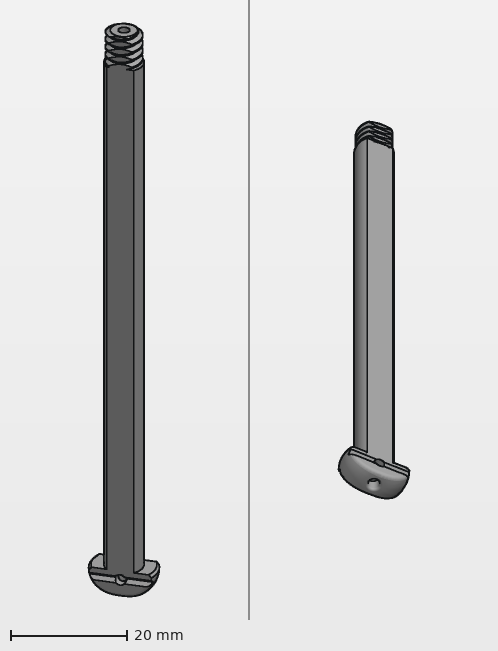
import cadquery as cq
import math

total_length = 110.0
body_thickness = 5.0
bore_diameter = 2.0

shaft_diameter = 6.9
thread_length = 6.3
thread_start_z = total_length - thread_length

thread_diameter = 6.5
thread_crest_radius = thread_diameter / 2
thread_depth = 0.9
thread_root_radius = thread_crest_radius - thread_depth
thread_turns = 4.2
thread_pitch = thread_length / thread_turns
thread_crest_width = 0.2
thread_flank_angle = 30.0
thread_lead_in = 0.5
thread_root_overlap = 0.1
helix_start_z = 101.4

head_diameter = 12.2
head_radius = head_diameter / 2
head_height = 5.2
bore_exit_radius = 0.4
tip_radius = bore_diameter / 2 + bore_exit_radius
dome_edge_fillet = 0.8
rim_chamfer_width = 0.4
rim_chamfer_height = 0.5
rim_z = head_height - rim_chamfer_height

groove_z = 3.4
groove_depth = 0.8
groove_half_width = 0.7


def cylinder(diameter, bottom_z, top_z):
    """Upright cylinder on the part axis."""
    return cq.Workplane("XY").workplane(offset=bottom_z).circle(diameter / 2).extrude(top_z - bottom_z)


def flat_slab(width, bottom_z, top_z):
    """Block as thick as the part between its flats."""
    return (
        cq.Workplane("XY")
        .workplane(offset=bottom_z)
        .rect(width, body_thickness)
        .extrude(top_z - bottom_z)
    )


def make_shaft():
    """Round bar cut down to two flats facing Y."""
    bar = cylinder(shaft_diameter, rim_z, thread_start_z)
    return bar.intersect(flat_slab(shaft_diameter, rim_z, thread_start_z))


def make_head():
    """Dome between two flats, with a chamfered top rim and rounded dome edges below the grooves."""
    dome_reach = head_radius - tip_radius
    dome_radius = (dome_reach**2 + rim_z**2) / (2 * rim_z)
    half_sweep = math.atan2(dome_reach, dome_radius - rim_z) / 2
    arc_middle = (
        tip_radius + dome_radius * math.sin(half_sweep),
        dome_radius * (1 - math.cos(half_sweep)),
    )
    dome = (
        cq.Workplane("XZ")
        .moveTo(0, bore_exit_radius)
        .lineTo(bore_diameter / 2, bore_exit_radius)
        .radiusArc((tip_radius, 0), -bore_exit_radius)
        .threePointArc(arc_middle, (head_radius, rim_z))
        .lineTo(head_radius - rim_chamfer_width, head_height)
        .lineTo(0, head_height)
        .close()
        .revolve(360, (0, 0, 0), (0, 1, 0))
    )
    upper = dome.intersect(flat_slab(head_diameter, groove_z, head_height))
    lower = dome.intersect(flat_slab(head_diameter, 0, groove_z))
    lower = lower.faces("<Y or >Y").edges("not |X").fillet(dome_edge_fillet)
    return upper.union(lower)


def make_thread_ridge():
    """Right-handed trapezoidal ridge that starts inside the shaft and runs past the end."""
    inner_radius = thread_root_radius - thread_root_overlap
    crest_half = thread_crest_width / 2
    flank_rise = (thread_crest_radius - inner_radius) * math.tan(math.radians(thread_flank_angle))
    base_half = crest_half + flank_rise
    helix_height = total_length + thread_pitch - helix_start_z
    helix_start = cq.Vector(0, 0, helix_start_z)
    helix = cq.Wire.makeHelix(thread_pitch, helix_height, thread_root_radius, helix_start)
    profile = cq.Workplane("XZ").polyline([
        (inner_radius, helix_start_z - base_half),
        (thread_crest_radius, helix_start_z - crest_half),
        (thread_crest_radius, helix_start_z + crest_half),
        (inner_radius, helix_start_z + base_half),
    ]).close()
    return profile.sweep(cq.Workplane(obj=helix), isFrenet=True)


def make_threaded_end():
    """Threaded core with a lead-in cone, cut to length and to the thickness between the flats."""
    envelope = (
        cylinder(shaft_diameter, thread_start_z, total_length)
        .faces(">Z")
        .chamfer(thread_lead_in, shaft_diameter / 2 - thread_root_radius)
        .intersect(flat_slab(shaft_diameter, thread_start_z, total_length))
    )
    core = cylinder(2 * thread_root_radius, thread_start_z, total_length)
    return core.intersect(envelope).union(make_thread_ridge().intersect(envelope))


def make_groove(side):
    """V-groove cutter along X in the flat on the given Y side (+1 or -1)."""
    flat_y = side * body_thickness / 2
    apex_y = flat_y - side * groove_depth
    return (
        cq.Workplane("YZ")
        .polyline([
            (flat_y, groove_z - groove_half_width),
            (apex_y, groove_z),
            (flat_y, groove_z + groove_half_width),
        ])
        .close()
        .extrude(head_radius, both=True)
    )


result = make_head().union(make_shaft()).union(make_threaded_end())

for side in (1, -1):
    result = result.cut(make_groove(side))

result = result.cut(cylinder(bore_diameter, 0, total_length))
cross_hole = (
    cq.Workplane("XZ")
    .center(0, groove_z)
    .circle(bore_diameter / 2)
    .extrude(body_thickness, both=True)
)
result = result.cut(cross_hole)